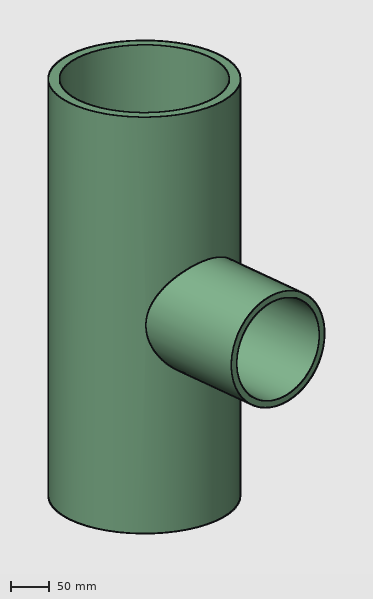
import cadquery as cq

main_length = 590.0
main_diameter = 250.0
main_wall = 15.0

branch_diameter = 160.0
branch_wall = 9.5
branch_reach = 266.5


def upright_cylinder(diameter):
    """Cylinder along the full length of the main pipe."""
    return cq.Workplane("XY").circle(diameter / 2).extrude(main_length)


def branch_cylinder(diameter):
    """Cylinder from the main axis to the open end of the branch."""
    return (
        cq.Workplane("YZ")
        .center(0, main_length / 2)
        .circle(diameter / 2)
        .extrude(branch_reach)
    )


outer_body = upright_cylinder(main_diameter).union(branch_cylinder(branch_diameter))

main_bore = upright_cylinder(main_diameter - 2 * main_wall)
branch_bore = branch_cylinder(branch_diameter - 2 * branch_wall)

result = outer_body.cut(main_bore).cut(branch_bore)